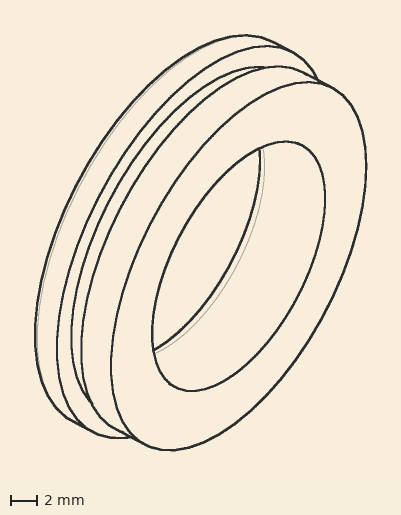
import cadquery as cq

total_length = 7.0
flange_diameter = 33.0
flange_width = 2.45
collar_diameter = 31.0
collar_width = 2.97
groove_diameter = 29.5
bore_diameter = 21.0
rim_radius = 0.5
bore_entry_radius = 1.0

groove_width = total_length - flange_width - collar_width


def disc(diameter, start, length):
    """Solid disc along X, beginning at the given X position."""
    return cq.Workplane("YZ", origin=(start, 0, 0)).circle(diameter / 2).extrude(length)


flange = disc(flange_diameter, 0, flange_width).faces("<X").edges().fillet(rim_radius)

groove_core = disc(groove_diameter, flange_width, groove_width)
collar = disc(collar_diameter, flange_width + groove_width, collar_width)
body = flange.union(groove_core).union(collar)

bored = body.cut(disc(bore_diameter, 0, total_length))
bore_entry = bored.faces("<X").edges(cq.selectors.RadiusNthSelector(0))
result = bore_entry.fillet(bore_entry_radius)